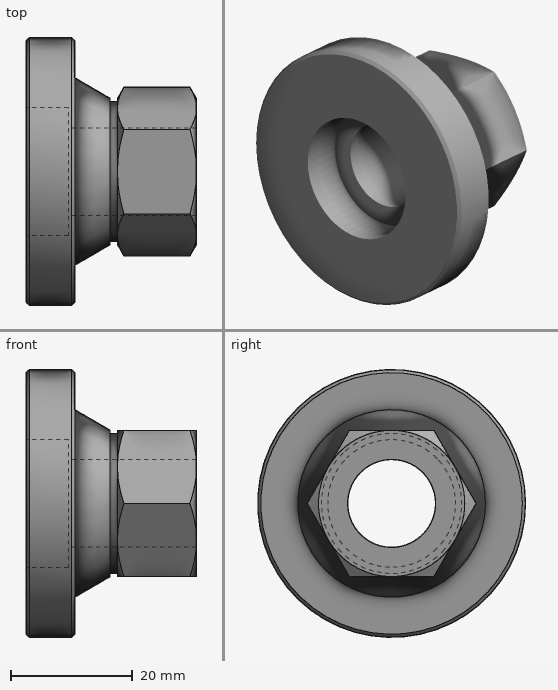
import cadquery as cq
import math

FLANGE_DIAMETER = 44.0
FLANGE_THICKNESS = 8.0
FLANGE_CHAMFER = 0.55
HUB_BASE_DIAMETER = 30.8
HUB_TIP_DIAMETER = 24.02
HUB_LENGTH = 5.8

COLLAR_DIAMETER = 23.0
COLLAR_LENGTH = 1.2
TOTAL_LENGTH = 28.0
HEX_ACROSS_FLATS = 24.02
HEX_CHAMFER_ANGLE = 30.0

BORE_DIAMETER = 14.4
COUNTERBORE_DIAMETER = 21.0
COUNTERBORE_DEPTH = 7.0

HUB_END = FLANGE_THICKNESS + HUB_LENGTH
HEX_START = HUB_END + COLLAR_LENGTH
HEX_LENGTH = TOTAL_LENGTH - HEX_START
HEX_ACROSS_CORNERS = HEX_ACROSS_FLATS / math.cos(math.radians(30))


def cylinder(start, length, diameter):
    """Cylinder along +X beginning at x = start."""
    return cq.Workplane("YZ", origin=(start, 0, 0)).circle(diameter / 2).extrude(length)


def revolve_profile(points):
    """Solid of revolution about X from (x, radius) points."""
    return cq.Workplane("XY").polyline(points).close().revolve(360, (0, 0, 0), (1, 0, 0))


def make_flange():
    """Chamfered disc and conical hub with a counterbored through hole."""
    disc = cylinder(0, FLANGE_THICKNESS, FLANGE_DIAMETER).edges().chamfer(FLANGE_CHAMFER)
    hub = revolve_profile([
        (FLANGE_THICKNESS, 0),
        (FLANGE_THICKNESS, HUB_BASE_DIAMETER / 2),
        (HUB_END, HUB_TIP_DIAMETER / 2),
        (HUB_END, 0),
    ])
    bore = cylinder(0, HUB_END, BORE_DIAMETER)
    counterbore = cylinder(0, COUNTERBORE_DEPTH, COUNTERBORE_DIAMETER)
    return disc.union(hub).cut(bore).cut(counterbore)


def make_hex():
    """Hexagonal prism, corners along Y, with both ends chamfered conically."""
    prism = (
        cq.Workplane("YZ", origin=(HEX_START, 0, 0))
        .polygon(6, HEX_ACROSS_CORNERS)
        .extrude(HEX_LENGTH)
    )
    flat_radius = HEX_ACROSS_FLATS / 2
    corner_radius = HEX_ACROSS_CORNERS / 2
    chamfer_length = (corner_radius - flat_radius) * math.tan(math.radians(HEX_CHAMFER_ANGLE))
    envelope = revolve_profile([
        (HEX_START, 0),
        (HEX_START, flat_radius),
        (HEX_START + chamfer_length, corner_radius),
        (TOTAL_LENGTH - chamfer_length, corner_radius),
        (TOTAL_LENGTH, flat_radius),
        (TOTAL_LENGTH, 0),
    ])
    return prism.intersect(envelope)


def make_nut():
    """Chamfered hexagon and round collar with a through bore."""
    collar = cylinder(HUB_END, COLLAR_LENGTH, COLLAR_DIAMETER)
    bore = cylinder(HUB_END, TOTAL_LENGTH - HUB_END, BORE_DIAMETER)
    return collar.union(make_hex()).cut(bore)


flange = make_flange()
nut = make_nut()

result = cq.Compound.makeCompound([flange.val(), nut.val()])